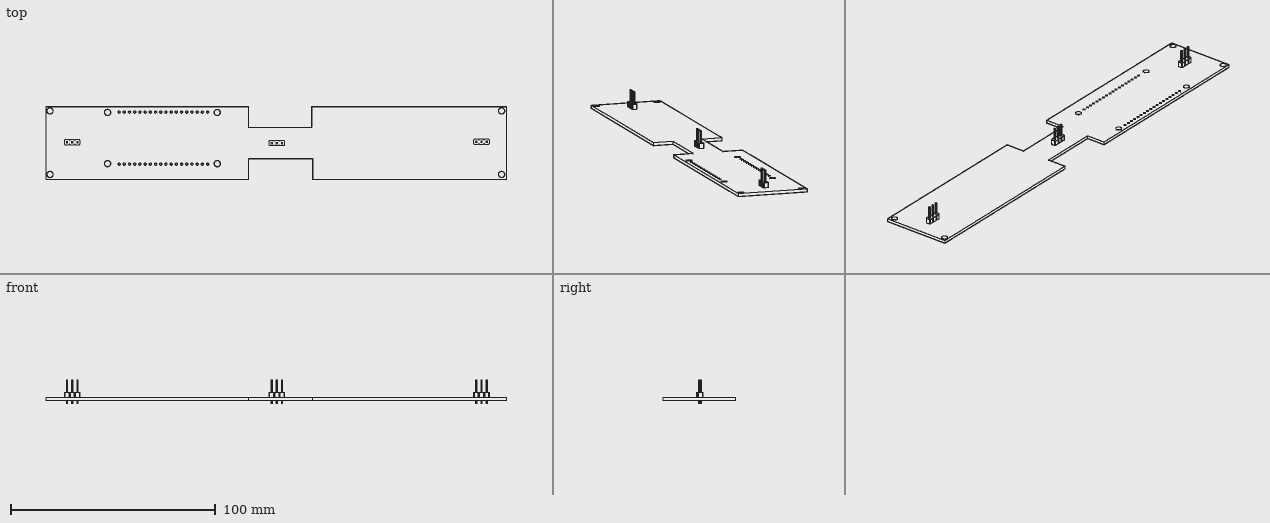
import cadquery as cq

BOARD_LENGTH = 225.0
BOARD_WIDTH = 35.5
BOARD_THICKNESS = 1.5
LEFT_X = -BOARD_LENGTH / 2
RIGHT_X = BOARD_LENGTH / 2
TOP_Y = BOARD_WIDTH / 2
BOTTOM_Y = -BOARD_WIDTH / 2

NOTCH_DEPTH = 10.1
LEFT_PANEL_LENGTH = 99.0
UPPER_NOTCH_LENGTH = 30.8
LOWER_NOTCH_LENGTH = 31.3
NOTCH_START_X = LEFT_X + LEFT_PANEL_LENGTH

MOUNT_HOLE_DIAMETER = 3.0
CORNER_INSET_LEFT = 2.0
CORNER_INSET_RIGHT = 2.5
CORNER_INSET_TOP = 2.0
CORNER_INSET_BOTTOM = 2.5

MODULE_CENTER_X = -55.5
MODULE_CENTER_Y = 2.5
MODULE_HOLE_SPACING_X = 53.5
MODULE_HOLE_SPACING_Y = 25.0
LEADS_PER_ROW = 18
LEAD_ROW_LENGTH = 43.2
LEAD_ROW_SPACING = 25.5
LEAD_ROW_CENTER_X = -55.1

PITCH = LEAD_ROW_LENGTH / (LEADS_PER_ROW - 1)
LEAD_HOLE_DIAMETER = 1.0

PINS_PER_HEADER = 3
PIN_SIDE = 0.63
PIN_LENGTH = 11.5
PIN_TAIL = 1.4
HOUSING_HEIGHT = 2.5
CELL_CHAMFER = 0.34
HEADER_SPACING = 100.0
MIDDLE_HEADER_X = 0.3
LEFT_HEADER_Y = 0.5
MIDDLE_HEADER_Y = 0.0
RIGHT_HEADER_Y = 0.7
HEADER_CENTERS = [
    (MIDDLE_HEADER_X - HEADER_SPACING, LEFT_HEADER_Y),
    (MIDDLE_HEADER_X, MIDDLE_HEADER_Y),
    (MIDDLE_HEADER_X + HEADER_SPACING, RIGHT_HEADER_Y),
]


def row_along_x(center_x, center_y, count):
    """Points spaced by the pitch along X, centred on the given point."""
    first_x = center_x - PITCH * (count - 1) / 2
    return [(first_x + PITCH * i, center_y) for i in range(count)]


def mounting_hole_points():
    """Four board corners and four corners of the module footprint."""
    corners = [
        (x, y)
        for x in (LEFT_X + CORNER_INSET_LEFT, RIGHT_X - CORNER_INSET_RIGHT)
        for y in (BOTTOM_Y + CORNER_INSET_BOTTOM, TOP_Y - CORNER_INSET_TOP)
    ]
    module = [
        (MODULE_CENTER_X + sx * MODULE_HOLE_SPACING_X / 2, MODULE_CENTER_Y + sy * MODULE_HOLE_SPACING_Y / 2)
        for sx in (-1, 1)
        for sy in (-1, 1)
    ]
    return corners + module


def lead_hole_points():
    """Two module rows plus one hole for every header pin."""
    points = []
    for side in (-1, 1):
        row_y = MODULE_CENTER_Y + side * LEAD_ROW_SPACING / 2
        points += row_along_x(LEAD_ROW_CENTER_X, row_y, LEADS_PER_ROW)
    for center_x, center_y in HEADER_CENTERS:
        points += row_along_x(center_x, center_y, PINS_PER_HEADER)
    return points


def drill(body, points, diameter):
    """Cut round holes through the board at the given points."""
    drills = cq.Workplane("XY").pushPoints(points).circle(diameter / 2).extrude(BOARD_THICKNESS)
    return body.cut(drills)


def make_board():
    """Flat board with its underside at Z = 0."""
    upper_notch_end = NOTCH_START_X + UPPER_NOTCH_LENGTH
    lower_notch_end = NOTCH_START_X + LOWER_NOTCH_LENGTH
    outline = [
        (LEFT_X, BOTTOM_Y),
        (NOTCH_START_X, BOTTOM_Y),
        (NOTCH_START_X, BOTTOM_Y + NOTCH_DEPTH),
        (lower_notch_end, BOTTOM_Y + NOTCH_DEPTH),
        (lower_notch_end, BOTTOM_Y),
        (RIGHT_X, BOTTOM_Y),
        (RIGHT_X, TOP_Y),
        (upper_notch_end, TOP_Y),
        (upper_notch_end, TOP_Y - NOTCH_DEPTH),
        (NOTCH_START_X, TOP_Y - NOTCH_DEPTH),
        (NOTCH_START_X, TOP_Y),
        (LEFT_X, TOP_Y),
    ]
    body = cq.Workplane("XY").polyline(outline).close().extrude(BOARD_THICKNESS)
    body = drill(body, mounting_hole_points(), MOUNT_HOLE_DIAMETER)
    return drill(body, lead_hole_points(), LEAD_HOLE_DIAMETER)


def make_header_cell(x, y):
    """One octagonal housing cell standing on the board, with its square pin."""
    housing = (
        cq.Workplane("XY", origin=(x, y, BOARD_THICKNESS))
        .rect(PITCH, PITCH)
        .extrude(HOUSING_HEIGHT)
        .edges("|Z")
        .chamfer(CELL_CHAMFER)
    )
    pin = cq.Workplane("XY", origin=(x, y, -PIN_TAIL)).rect(PIN_SIDE, PIN_SIDE).extrude(PIN_LENGTH)
    return housing.union(pin)


def make_pin_header(center_x, center_y):
    """A row of cells joined side by side into one solid."""
    cells = [make_header_cell(x, y) for x, y in row_along_x(center_x, center_y, PINS_PER_HEADER)]
    header = cells[0]
    for cell in cells[1:]:
        header = header.union(cell)
    return header


board = make_board()
pin_headers = [make_pin_header(x, y) for x, y in HEADER_CENTERS]

result = cq.Compound.makeCompound([board.val(), *[header.val() for header in pin_headers]])